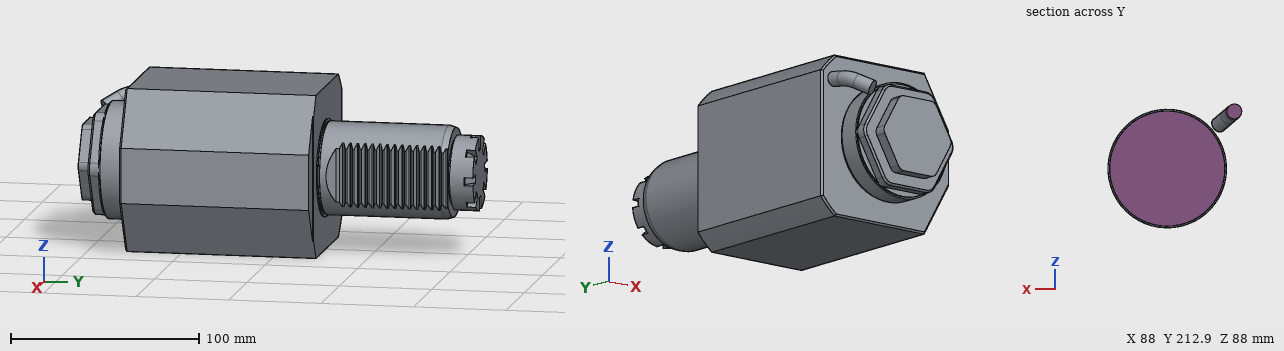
import cadquery as cq
import math


HOUSING_WIDTH = 88.0
HOUSING_LENGTH = 103.0
CORNER_RADIUS = 56.0
FLAT_START_X = 27.2
SLANT_ANGLE = 60.0
EDGE_CHAMFER = 1.0
RELIEF_START_X = 33.2
RELIEF_DEPTH = 0.6

FLANGE_DIAMETER = 52.3
FLANGE_LENGTH = 0.6
UNDERCUT_DIAMETER = 49.1
UNDERCUT_LENGTH = 0.9
SHANK_DIAMETER = 50.0
SHANK_END = 69.8
SHANK_CHAMFER_LENGTH = 3.6
SHANK_CHAMFER_DEPTH = 1.0

TOOTH_CREST_X = 20.5
NOTCH_DEPTH = 2.3
NOTCH_MOUTH = 3.2
NOTCH_ROOT = 0.6
NOTCH_COUNT = 15
NOTCH_SPAN = 56.0
FIRST_NOTCH = 13.0
FLAT_START = 9.5

NECK_DIAMETER = 36.2
NECK_LENGTH = 1.0
NUT_DIAMETER = 40.0
NUT_END = 83.5
SLOT_COUNT = 8
SLOT_WIDTH = 4.3
SLOT_LENGTH = 4.7
SLOT_INNER_DEPTH = 2.5
SLOT_MOUTH_DEPTH = 7.2
SLOT_TURN = 3.0

CAP_NECK_DIAMETER = 61.3
CAP_RING_DIAMETER = 63.0
CAP_RING_START = 1.7
CAP_RING_END = 13.0
CAP_NECK_END = 13.8
HEX_FLATS = 55.0
HEX_END = 19.8
HEX_CORNER_RADIUS = 7.0
HEX_CHAMFER = 1.0
HEAD_FLATS = 41.0
HEAD_END = 26.4
HEAD_CORNER_RADIUS = 4.5

PIPE_DIAMETER = 8.0
PIPE_OFFSET = 47.0
PIPE_DIRECTION = 139.6
PIPE_BEND_RADIUS = 16.5
PIPE_START_ANGLE = 10.0
PIPE_END_ANGLE = 42.0
PIPE_START_LENGTH = 6.4
PIPE_END_LENGTH = 9.5

HALF_WIDTH = HOUSING_WIDTH / 2
FRONT = -HOUSING_LENGTH
OVERLAP = 2.1


def plane_at(y, facing=1):
    """XZ plane at height y with its normal along +Y (facing 1) or -Y (facing -1)."""
    return cq.Plane(origin=(0, y, 0), xDir=(-facing, 0, 0), normal=(0, facing, 0))


def cylinder(diameter, start, end):
    return cq.Workplane(plane_at(start)).circle(diameter / 2).extrude(end - start)


def hexagon(flats, corner_radius, start, end):
    corner_diameter = flats / math.cos(math.radians(30))
    prism = cq.Workplane(plane_at(end)).polygon(6, corner_diameter).extrude(start - end)
    return prism.edges("|Y").fillet(corner_radius)


def make_housing():
    corner = math.sqrt(CORNER_RADIUS**2 - HALF_WIDTH**2)
    corner_mid = CORNER_RADIUS * math.sqrt(0.5)
    slant_z = HALF_WIDTH - (HALF_WIDTH - FLAT_START_X) * math.tan(math.radians(SLANT_ANGLE))
    housing = (
        cq.Workplane(plane_at(FRONT, -1))
        .moveTo(FLAT_START_X, HALF_WIDTH)
        .lineTo(HALF_WIDTH, slant_z)
        .lineTo(HALF_WIDTH, -slant_z)
        .lineTo(FLAT_START_X, -HALF_WIDTH)
        .lineTo(-corner, -HALF_WIDTH)
        .threePointArc((-corner_mid, -corner_mid), (-HALF_WIDTH, -corner))
        .lineTo(-HALF_WIDTH, corner)
        .threePointArc((-corner_mid, corner_mid), (-corner, HALF_WIDTH))
        .close()
        .extrude(-HOUSING_LENGTH)
    )
    housing = housing.faces("<Y").edges().chamfer(EDGE_CHAMFER)
    relief = cq.Workplane("XY").box(
        HOUSING_WIDTH, 2 * RELIEF_DEPTH, 2 * HOUSING_WIDTH, centered=(False, True, True)
    )
    return housing.cut(relief.translate((RELIEF_START_X, 0, 0)))


def make_shank():
    radius = SHANK_DIAMETER / 2
    undercut_end = FLANGE_LENGTH + UNDERCUT_LENGTH
    profile = [
        (0, -OVERLAP),
        (FLANGE_DIAMETER / 2, -OVERLAP),
        (FLANGE_DIAMETER / 2, FLANGE_LENGTH),
        (UNDERCUT_DIAMETER / 2, FLANGE_LENGTH),
        (UNDERCUT_DIAMETER / 2, undercut_end),
        (radius, undercut_end),
        (radius, SHANK_END - SHANK_CHAMFER_LENGTH),
        (radius - SHANK_CHAMFER_DEPTH, SHANK_END),
        (0, SHANK_END),
    ]
    shank = cq.Workplane("XY").polyline(profile).close().revolve(360, (0, 0, 0), (0, 1, 0))
    return shank.cut(make_tooth_cutter())


def make_tooth_cutter():
    """Everything removed to leave a toothed flat with a 45 degree run-out."""
    outer_x = SHANK_DIAMETER / 2 + OVERLAP
    notch_pitch = NOTCH_SPAN / (NOTCH_COUNT - 1)
    root_x = TOOTH_CREST_X - NOTCH_DEPTH
    outline = [
        (outer_x, SHANK_END + OVERLAP),
        (outer_x, FLAT_START - (outer_x - TOOTH_CREST_X)),
        (TOOTH_CREST_X, FLAT_START),
    ]
    for index in range(NOTCH_COUNT):
        middle = FIRST_NOTCH + index * notch_pitch
        outline += [
            (TOOTH_CREST_X, middle - NOTCH_MOUTH / 2),
            (root_x, middle - NOTCH_ROOT / 2),
            (root_x, middle + NOTCH_ROOT / 2),
            (TOOTH_CREST_X, middle + NOTCH_MOUTH / 2),
        ]
    outline.append((TOOTH_CREST_X, SHANK_END + OVERLAP))
    return cq.Workplane("XY").polyline(outline).close().extrude(SHANK_DIAMETER, both=True)


def make_nut():
    nut = cylinder(NUT_DIAMETER, SHANK_END + NECK_LENGTH, NUT_END)
    radius = NUT_DIAMETER / 2
    slot_start = NUT_END - SLOT_LENGTH
    slot_outline = [
        (slot_start, radius + OVERLAP),
        (slot_start, radius - SLOT_INNER_DEPTH),
        (NUT_END, radius - SLOT_MOUTH_DEPTH),
        (NUT_END, radius + OVERLAP),
    ]
    slot = cq.Workplane("YZ").polyline(slot_outline).close().extrude(SLOT_WIDTH / 2, both=True)
    for index in range(SLOT_COUNT):
        angle = SLOT_TURN + index * 360 / SLOT_COUNT
        nut = nut.cut(slot.rotate((0, 0, 0), (0, 1, 0), angle))
    return nut.union(cylinder(NECK_DIAMETER, SHANK_END - OVERLAP, SHANK_END + NECK_LENGTH + OVERLAP))


def make_cap():
    neck = cylinder(CAP_NECK_DIAMETER, FRONT - CAP_NECK_END, FRONT + OVERLAP)
    ring = cylinder(CAP_RING_DIAMETER, FRONT - CAP_RING_END, FRONT - CAP_RING_START)
    collar = hexagon(HEX_FLATS, HEX_CORNER_RADIUS, FRONT - HEX_END, FRONT - CAP_RING_END)
    collar = collar.faces("<Y").edges().chamfer(HEX_CHAMFER)
    head = hexagon(HEAD_FLATS, HEAD_CORNER_RADIUS, FRONT - HEAD_END, FRONT - HEX_END + OVERLAP)
    return neck.union(ring).union(collar).union(head)


def make_pipe():
    """Round bar swept in the radial plane, then turned to its place around the axis."""
    start_angle = math.radians(PIPE_START_ANGLE)
    end_angle = math.radians(PIPE_END_ANGLE)

    def step(point, angle, length):
        """Move forward from a point along a line tilted towards the axis."""
        return point[0] - length * math.sin(angle), point[1] - length * math.cos(angle)

    def along_bend(angle):
        """Point of the bend where the pipe has reached the given tilt."""
        turn = angle - start_angle
        chord = 2 * PIPE_BEND_RADIUS * math.sin(turn / 2)
        return step(bend_start, start_angle + turn / 2, chord)

    face_point = (PIPE_OFFSET, FRONT)
    root = step(face_point, start_angle, -OVERLAP)
    bend_start = step(face_point, start_angle, PIPE_START_LENGTH)
    bend_end = along_bend(end_angle)
    path = (
        cq.Workplane("XY")
        .moveTo(*root)
        .lineTo(*bend_start)
        .threePointArc(along_bend((start_angle + end_angle) / 2), bend_end)
        .lineTo(*step(bend_end, end_angle, PIPE_END_LENGTH))
    )
    root_plane = cq.Plane(
        origin=(*root, 0),
        xDir=(0, 0, 1),
        normal=(-math.sin(start_angle), -math.cos(start_angle), 0),
    )
    pipe = cq.Workplane(root_plane).circle(PIPE_DIAMETER / 2).sweep(path)
    return pipe.rotate((0, 0, 0), (0, 1, 0), -PIPE_DIRECTION)


result = make_housing().union(make_shank()).union(make_nut()).union(make_cap()).union(make_pipe())